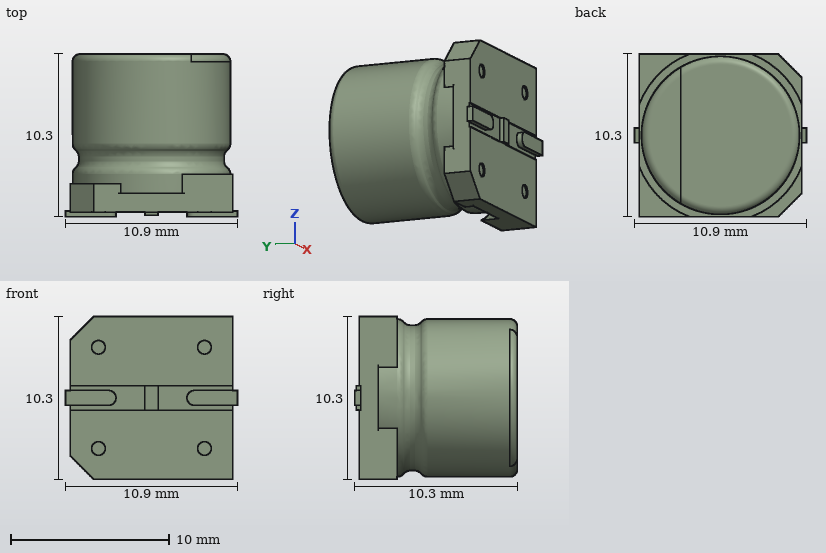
import cadquery as cq
import math


total_height = 10.3
base_width = 10.3
lead_span = 10.9

tab_bottom = 0.1
base_bottom = 0.3
groove_depth = 0.08
groove_floor = base_bottom + groove_depth
seat_level = 1.5
low_post_top = 2.1
high_post_top = 2.7

can_radius = 5.0
top_fillet = 0.5
neck_depth = 0.4
neck_flat = 0.3
neck_fillet = 0.5
flank_angle = math.radians(45)

mark_edge_x = can_radius / 2

corner_chamfer = 1.5
recess_radius = 5.5
groove_width = 1.54
tab_length = 0.83
dimple_radius = 0.43
dimple_depth = 0.1
dimple_x = 3.35
dimple_z = 3.2

lead_width = 0.94
lead_tip_x = 2.24


def box_between(x_range, y_range, z_range):
    """Box given by its lower and upper limit on each axis."""
    sizes = [limits[1] - limits[0] for limits in (x_range, y_range, z_range)]
    corner = (x_range[0], y_range[0], z_range[0])
    return cq.Workplane("XY").box(*sizes, centered=False).translate(corner)


def along_y(bottom):
    """Sketch plane facing +Y at the given level; its local x is X and its local y is -Z."""
    return cq.Workplane("XZ", origin=(0, bottom, 0)).transformed(rotate=(180, 0, 0))


def neck_points():
    """Corners of the sharp trapezoidal neck, from the base end towards the top."""
    fillet_tangent = neck_fillet * math.tan(flank_angle / 2)
    flank_run = neck_depth / math.tan(flank_angle)
    neck_radius = can_radius - neck_depth
    flank_start = high_post_top + fillet_tangent
    flat_start = flank_start + flank_run
    flat_end = flat_start + 2 * fillet_tangent + neck_flat
    flank_end = flat_end + flank_run
    return [
        (can_radius, flank_start),
        (neck_radius, flat_start),
        (neck_radius, flat_end),
        (can_radius, flank_end),
    ]


def ring_at(radius, level):
    """Selector for the circular edges of one radius at one level of the can."""
    slack = 0.01
    reach = radius + slack
    lower = (-reach, level - slack, -reach)
    upper = (reach, level + slack, reach)
    return cq.selectors.BoxSelector(lower, upper, boundingbox=True)


def make_whole_can():
    """Turned can with a rounded neck near its foot and a rounded top rim."""
    corners = neck_points()
    can = (
        cq.Workplane("XY")
        .moveTo(0, seat_level)
        .lineTo(can_radius, seat_level)
    )
    for corner in corners:
        can = can.lineTo(*corner)
    can = (
        can.lineTo(can_radius, total_height)
        .lineTo(0, total_height)
        .close()
        .revolve(360, (0, 0, 0), (0, 1, 0))
    )
    neck_edges = can.edges(ring_at(*corners[0]))
    for corner in corners[1:]:
        neck_edges = neck_edges.add(can.edges(ring_at(*corner)))
    can = neck_edges.fillet(neck_fillet)
    return can.edges(">Y").fillet(top_fillet)


def make_mark_zone():
    """Region of the rounded top rim that belongs to the polarity mark."""
    rim_level = total_height - top_fillet
    return box_between((mark_edge_x, can_radius), (rim_level, total_height), (-can_radius, can_radius))


def make_can():
    return make_whole_can().cut(make_mark_zone())


def make_mark():
    return make_whole_can().intersect(make_mark_zone())


def make_base():
    """Square base with two cut corners, four posts around the can and a grooved underside."""
    half = base_width / 2
    base = box_between((-half, half), (base_bottom, high_post_top), (-half, half))
    base = base.edges("|Y and <X").chamfer(corner_chamfer)

    base = base.cut(box_between((-half, 0), (low_post_top, high_post_top), (-half, half)))

    base = base.cut(along_y(seat_level).circle(recess_radius).extrude(high_post_top - seat_level))

    half_groove = groove_width / 2
    groove = box_between((-half, half), (base_bottom, groove_floor), (-half_groove, half_groove))
    half_tab = tab_length / 2
    tab = box_between((-half_tab, half_tab), (tab_bottom, groove_floor), (-half_groove, half_groove))
    base = base.cut(groove).union(tab)

    dimples = (
        along_y(base_bottom)
        .rect(2 * dimple_x, 2 * dimple_z, forConstruction=True)
        .vertices()
        .circle(dimple_radius)
        .extrude(dimple_depth)
    )
    return base.cut(dimples)


def make_lead(side):
    """Flat lead with a round inner end; side is -1 or +1 along X."""
    half_width = lead_width / 2
    outer_x = side * lead_span / 2
    tip_x = side * lead_tip_x
    round_start_x = tip_x + side * half_width
    return (
        along_y(0)
        .moveTo(outer_x, -half_width)
        .lineTo(round_start_x, -half_width)
        .threePointArc((tip_x, 0), (round_start_x, half_width))
        .lineTo(outer_x, half_width)
        .close()
        .extrude(groove_floor)
    )


can = make_can()
mark = make_mark()
base = make_base()
leads = [make_lead(side) for side in (-1, 1)]

result = cq.Compound.makeCompound(
    [can.val(), mark.val(), base.val(), *[lead.val() for lead in leads]]
)